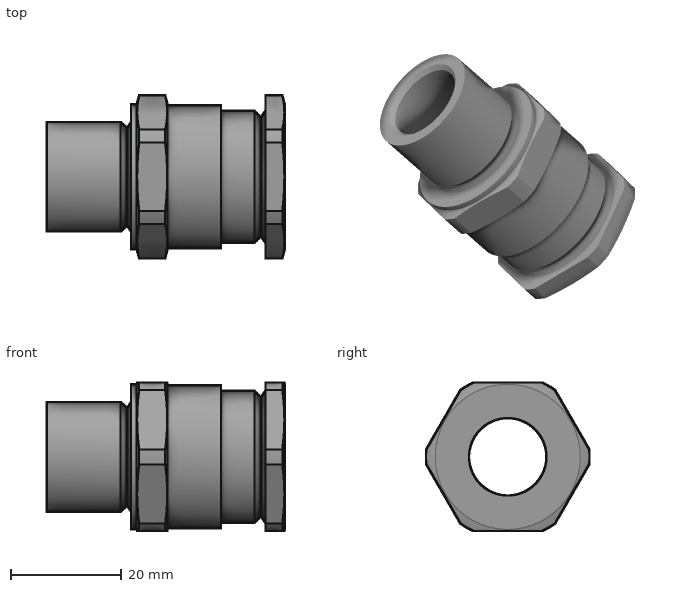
import cadquery as cq
import math


entry_thread_end = 13.4
entry_neck_start = 14.47
entry_neck_end = 14.7
collar_start = 15.3
body_hex_start = 16.35
body_hex_end = 21.95
body_end = 31.65
nut_thread_end = 37.65
nut_neck_start = 38.8
nut_neck_end = 38.95
nut_hex_start = 39.65
overall_length = 43.2

entry_thread_radius = 10.0
entry_neck_radius = 9.0
collar_radius = 13.18
barrel_radius = 13.0
nut_thread_radius = 12.0
nut_neck_radius = 10.9
bore_radius = 7.0
bore_chamfer = 0.78

across_flats = 27.0
hex_corner_radius = 14.85
hex_chamfer_radius = collar_radius
hex_chamfer_angle = 15.0


def revolve_about_x(profile):
    """Revolve a closed outline of (x, radius) points about the X axis."""
    return cq.Workplane("XY").polyline(profile).close().revolve(360, (0, 0, 0), (1, 0, 0))


def hexagon(start, end, chamfer_start):
    """Hexagon with corners turned round, chamfered at its end and, if asked, at its start."""
    across_corners = across_flats / math.cos(math.pi / 6)
    prism = cq.Workplane("YZ", origin=(start, 0, 0)).polygon(6, across_corners).extrude(end - start)
    corner_drop = hex_corner_radius - hex_chamfer_radius
    chamfer_length = corner_drop * math.tan(math.radians(hex_chamfer_angle))
    profile = [(start, 0)]
    if chamfer_start:
        profile += [(start, hex_chamfer_radius), (start + chamfer_length, hex_corner_radius)]
    else:
        profile += [(start, hex_corner_radius)]
    profile += [(end - chamfer_length, hex_corner_radius), (end, hex_chamfer_radius), (end, 0)]
    return prism.intersect(revolve_about_x(profile))


def bore(start, end):
    """Cylinder that cuts the through bore between two stations."""
    return cq.Workplane("YZ", origin=(start, 0, 0)).circle(bore_radius).extrude(end - start)


def make_entry_body():
    """Entry thread, undercut, collar, hexagon and barrel."""
    turned = revolve_about_x([
        (0, 0),
        (0, entry_thread_radius),
        (entry_thread_end, entry_thread_radius),
        (entry_neck_start, entry_neck_radius),
        (entry_neck_end, entry_neck_radius),
        (collar_start, entry_thread_radius),
        (collar_start, collar_radius),
        (body_hex_start, collar_radius),
        (body_hex_start, barrel_radius),
        (body_end, barrel_radius),
        (body_end, 0),
    ])
    body = turned.union(hexagon(body_hex_start, body_hex_end, chamfer_start=True))
    mouth_chamfer = revolve_about_x([
        (0, 0),
        (0, bore_radius + bore_chamfer),
        (bore_chamfer, bore_radius),
        (bore_chamfer, 0),
    ])
    return body.cut(bore(0, body_end)).cut(mouth_chamfer)


def make_gland_nut():
    """Threaded shank with an undercut below its hexagon; seats on the end of the barrel."""
    shank = revolve_about_x([
        (body_end, 0),
        (body_end, nut_thread_radius),
        (nut_thread_end, nut_thread_radius),
        (nut_neck_start, nut_neck_radius),
        (nut_neck_end, nut_neck_radius),
        (nut_hex_start, nut_thread_radius),
        (nut_hex_start, 0),
    ])
    nut = shank.union(hexagon(nut_hex_start, overall_length, chamfer_start=False))
    return nut.cut(bore(body_end, overall_length))


entry_body = make_entry_body()
gland_nut = make_gland_nut()

result = cq.Compound.makeCompound([entry_body.solids().val(), gland_nut.solids().val()])